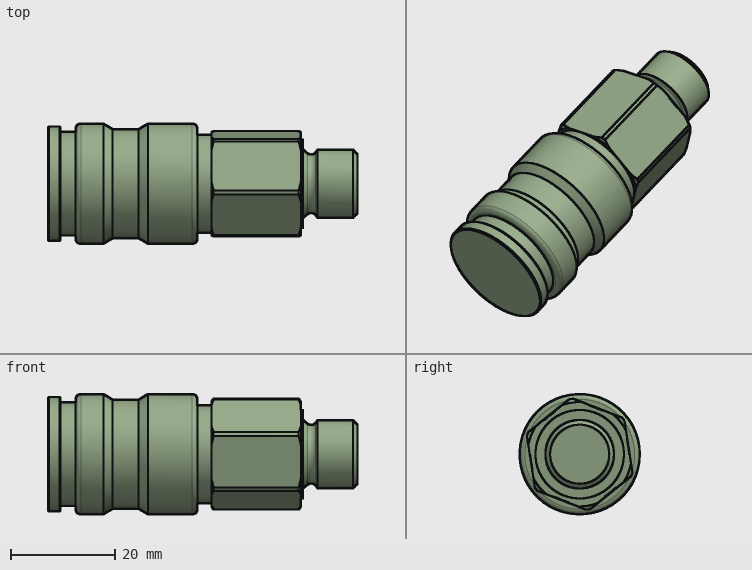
import cadquery as cq
import math

overall_length = 59.5

flange_diameter = 22.0
flange_length = 2.4
flange_chamfer = 0.2
front_neck_diameter = 20.0

sleeve_start = 5.3
sleeve_end = 28.75
sleeve_diameter = 23.15
sleeve_edge_radius = 1.0
waist_diameter = 21.0
waist_front_top = 10.65
waist_front_bottom = 12.45
waist_rear_bottom = 17.45
waist_rear_top = 19.2

core_diameter = 18.9

hex_start = 31.4
hex_end = 48.6
hex_across_flats = 19.0
hex_corner_diameter = 21.5
hex_chamfer_diameter = 20.05
hex_chamfer_angle = 30.0
hex_rotation = 21.2

collar_end = 49.0
collar_diameter = 17.0
undercut_top_diameter = 13.2
undercut_diameter = 11.3
undercut_radius = 1.2
undercut_center = 50.6
undercut_arc_start = 49.85
undercut_arc_end = 51.4
thread_start = 51.8
thread_diameter = 13.15
thread_chamfer = 0.9


def revolve_about_x(profile):
    """Revolve a closed (X, radius) profile all the way round the X axis."""
    return profile.close().revolve(360, (0, 0, 0), (1, 0, 0))


def make_cylinder(start, end, diameter):
    """Cylinder along X between two stations."""
    return cq.Workplane("YZ", origin=(start, 0, 0)).circle(diameter / 2).extrude(end - start)


def make_front():
    """Chamfered flange, front neck and the core under the sleeve."""
    flange = make_cylinder(0, flange_length, flange_diameter).edges().chamfer(flange_chamfer)
    neck = make_cylinder(flange_length, sleeve_start, front_neck_diameter)
    core = make_cylinder(sleeve_start, hex_start, core_diameter)
    return flange.union(neck).union(core)


def make_hexagon():
    """Hexagon trimmed by a cylinder at its corners and a cone at each end."""
    across_corners = hex_across_flats / math.cos(math.radians(30))
    prism = (
        cq.Workplane("YZ", origin=(hex_start, 0, 0))
        .polygon(6, across_corners)
        .extrude(hex_end - hex_start)
        .rotate((0, 0, 0), (1, 0, 0), -hex_rotation)
    )
    corner_radius = hex_corner_diameter / 2
    chamfer_radius = hex_chamfer_diameter / 2
    chamfer_length = (corner_radius - chamfer_radius) * math.tan(math.radians(hex_chamfer_angle))
    envelope = revolve_about_x(
        cq.Workplane("XY")
        .moveTo(hex_start, 0)
        .lineTo(hex_start, chamfer_radius)
        .lineTo(hex_start + chamfer_length, corner_radius)
        .lineTo(hex_end - chamfer_length, corner_radius)
        .lineTo(hex_end, chamfer_radius)
        .lineTo(hex_end, 0)
    )
    return prism.intersect(envelope)


def undercut_arc_height(x):
    """Radius from the X axis to the round bottom of the undercut at station x."""
    offset = x - undercut_center
    drop = math.sqrt(undercut_radius**2 - offset**2)
    return undercut_diameter / 2 + undercut_radius - drop


def make_stub():
    """Collar, undercut with sloping flanks, and chamfered threaded stub."""
    thread_radius = thread_diameter / 2
    return revolve_about_x(
        cq.Workplane("XY")
        .moveTo(hex_end, 0)
        .lineTo(hex_end, collar_diameter / 2)
        .lineTo(collar_end, collar_diameter / 2)
        .lineTo(collar_end, undercut_top_diameter / 2)
        .lineTo(undercut_arc_start, undercut_arc_height(undercut_arc_start))
        .threePointArc(
            (undercut_center, undercut_diameter / 2),
            (undercut_arc_end, undercut_arc_height(undercut_arc_end)),
        )
        .lineTo(thread_start, thread_radius)
        .lineTo(overall_length - thread_chamfer, thread_radius)
        .lineTo(overall_length, thread_radius - thread_chamfer)
        .lineTo(overall_length, 0)
    )


def make_coupling_body():
    """One solid from the front flange to the threaded stub."""
    return make_front().union(make_hexagon()).union(make_stub())


def make_sleeve():
    """Waisted sleeve with rounded outer ends, bored to fit on the core."""
    bore_radius = core_diameter / 2
    outer_radius = sleeve_diameter / 2
    waist_radius = waist_diameter / 2
    shoulder_radius = outer_radius - sleeve_edge_radius
    return revolve_about_x(
        cq.Workplane("XY")
        .moveTo(sleeve_start, bore_radius)
        .lineTo(sleeve_start, shoulder_radius)
        .radiusArc((sleeve_start + sleeve_edge_radius, outer_radius), sleeve_edge_radius)
        .lineTo(waist_front_top, outer_radius)
        .lineTo(waist_front_bottom, waist_radius)
        .lineTo(waist_rear_bottom, waist_radius)
        .lineTo(waist_rear_top, outer_radius)
        .lineTo(sleeve_end - sleeve_edge_radius, outer_radius)
        .radiusArc((sleeve_end, shoulder_radius), sleeve_edge_radius)
        .lineTo(sleeve_end, bore_radius)
    )


coupling_body = make_coupling_body()
sleeve = make_sleeve()

result = cq.Compound.makeCompound([coupling_body.val(), sleeve.val()])